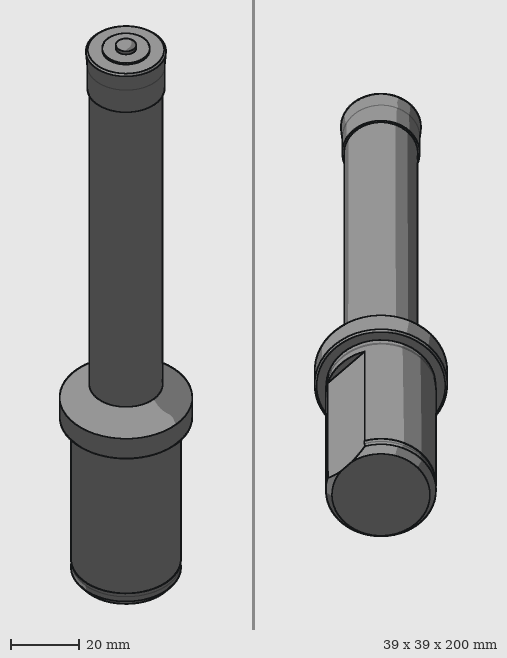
import cadquery as cq
import math

overall_height = 200.0
collar_bottom = 58.2
collar_top = 66.2
cone_top = 71.2
sleeve_bottom = 182.5
flare_bottom = 190.8
head_top = 196.8
disc_top = 197.5
pin_shoulder = 198.5

collar_diameter = 39.0
shank_radius = 16.2
collar_radius = collar_diameter / 2
shaft_radius = 10.8
sleeve_radius = 11.5
head_radius = 11.8
disc_radius = 7.0
pin_radius = 3.0

bottom_chamfer_width = 1.8
bottom_chamfer_height = 2.5
collar_chamfer = 0.5
head_chamfer = 0.5

groove_depth = 0.1
ring_groove_bottom = 4.2
ring_groove_top = 5.5
neck_groove_bottom = 56.0
neck_groove_top = 56.5

flat_offset = 14.2
flat_top = 53.0


def cap_midpoint():
    """Point halfway along the arc from the pin shoulder to the tip."""
    cap_height = overall_height - pin_shoulder
    cap_radius = (pin_radius**2 + cap_height**2) / (2 * cap_height)
    half_angle = math.asin(pin_radius / cap_radius) / 2
    cap_center = overall_height - cap_radius
    return (cap_radius * math.sin(half_angle), cap_center + cap_radius * math.cos(half_angle))


def revolved_body():
    """Shank, collar, shaft and flared head turned from one half profile."""
    groove_radius = shank_radius - groove_depth
    profile = [
        (0, 0),
        (shank_radius - bottom_chamfer_width, 0),
        (shank_radius, bottom_chamfer_height),
        (groove_radius, ring_groove_bottom),
        (groove_radius, ring_groove_top),
        (shank_radius, ring_groove_top),
        (shank_radius, neck_groove_bottom),
        (groove_radius, neck_groove_top),
        (groove_radius, collar_bottom),
        (collar_radius - collar_chamfer, collar_bottom),
        (collar_radius, collar_bottom + collar_chamfer),
        (collar_radius, collar_top),
        (shaft_radius, cone_top),
        (shaft_radius, sleeve_bottom),
        (sleeve_radius, sleeve_bottom),
        (sleeve_radius, flare_bottom),
        (head_radius, head_top - head_chamfer),
        (head_radius - head_chamfer, head_top),
        (disc_radius, head_top),
        (disc_radius, disc_top),
        (pin_radius, disc_top),
        (pin_radius, pin_shoulder),
    ]
    outline = cq.Workplane("XZ").polyline(profile)
    outline = outline.threePointArc(cap_midpoint(), (0, overall_height)).close()
    return outline.revolve(360, (0, 0, 0), (0, 1, 0))


def flat_cutter():
    """Block that removes the shank beyond the flat."""
    return cq.Workplane("XY").box(
        2 * shank_radius, shank_radius, flat_top, centered=(True, False, False)
    ).translate((0, flat_offset, 0))


result = revolved_body().cut(flat_cutter())